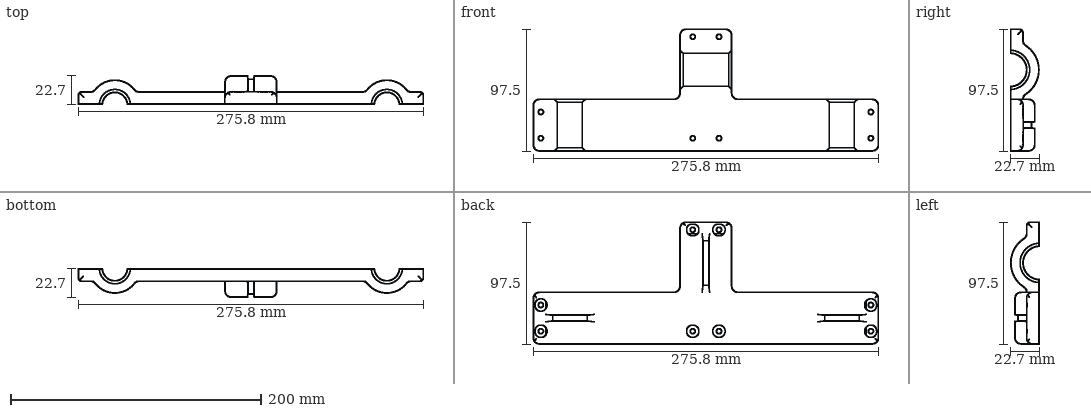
import cadquery as cq
import math

length = 275.8
height = 97.5
arm_width = 41.5
plate_thickness = 10.0
wall = 10.0
clamp_gap = 0.5
side_bore_radius = 10.0
top_bore_radius = 13.2
tab_length = 19.3
corner_radius = 5.0
back_rounding = 5.0
blend_radius = 4.7
end_rounding = 3.0
bore_chamfer = 2.5
groove_opening = 5.2
groove_floor = 4.5
groove_depth = 2.5
hole_diameter = 3.9
sink_diameter = 10.0
hole_spacing = 21.0
hole_edge_distance = 6.0

bar_middle = arm_width / 2
side_bore_x = length / 2 - tab_length - side_bore_radius
top_bore_z = height - tab_length - top_bore_radius
axis_y = -clamp_gap
past_part = 2 * height


def half_strip(start, end, bores):
    """Side face of a strip lying on y = 0 with a saddle over each (place, radius) bore."""
    profile = cq.Workplane("XY").moveTo(start, 0).lineTo(start, plate_thickness)
    for place, bore_radius in bores:
        outer = bore_radius + wall
        blend_y = plate_thickness + blend_radius
        blend_reach = math.sqrt((outer + blend_radius) ** 2 - (blend_y - axis_y) ** 2)
        touch = outer / (outer + blend_radius)
        touch_x = blend_reach * touch
        touch_y = axis_y + (blend_y - axis_y) * touch
        profile = (
            profile.lineTo(place - blend_reach, plate_thickness)
            .radiusArc((place - touch_x, touch_y), -blend_radius)
            .threePointArc((place, axis_y + outer), (place + touch_x, touch_y))
            .radiusArc((place + blend_reach, plate_thickness), -blend_radius)
        )
    return profile.lineTo(end, plate_thickness).lineTo(end, 0).close()


def stand_up(strip):
    """Turn a strip running along X so that it runs along Z, keeping its back toward +Y."""
    return strip.rotate((0, 0, 0), (0, 1, 0), -90)


def round_long_rims(strip):
    """Round the back edges that run along a strip, on both of its long sides."""
    rims = strip.faces("|Z").edges("not(|Y or <Y)")
    return strip.newObject(rims.vals()).fillet(back_rounding)


def end_cutter(end, direction):
    """Sliver that rounds the back edge at the end of a strip pointing in +X (1) or -X (-1)."""
    start = end - direction * end_rounding
    return (
        cq.Workplane("XY", origin=(0, 0, -past_part))
        .moveTo(start, plate_thickness)
        .radiusArc((end, plate_thickness - end_rounding), direction * end_rounding)
        .lineTo(end + direction * end_rounding, plate_thickness - end_rounding)
        .lineTo(end + direction * end_rounding, plate_thickness + end_rounding)
        .lineTo(start, plate_thickness + end_rounding)
        .close()
        .extrude(2 * past_part)
    )


def make_bar():
    end = length / 2
    bores = [(-side_bore_x, side_bore_radius), (side_bore_x, side_bore_radius)]
    bar = round_long_rims(half_strip(-end, end, bores).extrude(arm_width))
    outline = cq.Workplane("XY").box(length, past_part, arm_width, centered=(True, True, False))
    bar = bar.intersect(outline.edges("|Y").fillet(corner_radius))
    return bar.cut(end_cutter(end, 1)).cut(end_cutter(-end, -1))


def make_stem():
    strip = half_strip(bar_middle, height, [(top_bore_z, top_bore_radius)]).extrude(arm_width)
    strip = round_long_rims(strip)
    stem = stand_up(strip.translate((0, 0, -arm_width / 2)))
    outline = cq.Workplane("XY").box(arm_width, past_part, height, centered=(True, True, False))
    stem = stem.intersect(outline.edges("|Y and >Z").fillet(corner_radius))
    return stem.cut(stand_up(end_cutter(height, 1)))


def bore_cutter(radius):
    """Bore along Z over one arm width, flared at both ends."""
    flared = radius + bore_chamfer
    outline = (
        cq.Workplane("XZ")
        .lineTo(flared, 0)
        .lineTo(radius, bore_chamfer)
        .lineTo(radius, arm_width - bore_chamfer)
        .lineTo(flared, arm_width)
        .lineTo(0, arm_width)
        .close()
    )
    return outline.revolve(360, (0, 0, 0), (0, 1, 0))


def groove_cutter(bore_radius):
    """Ring at mid width that cuts the tapered strap groove, behind the plate only."""
    outer = bore_radius + wall
    floor = outer - groove_depth
    above = outer + groove_depth
    floor_half = groove_floor / 2
    above_half = groove_opening - floor_half
    ring = (
        cq.Workplane("XZ", origin=(0, 0, bar_middle))
        .moveTo(floor, -floor_half)
        .lineTo(above, -above_half)
        .lineTo(above, above_half)
        .lineTo(floor, floor_half)
        .close()
        .revolve(360, (0, 0, 0), (0, 1, 0))
    )
    in_front = (
        cq.Workplane("XY")
        .box(past_part, past_part, past_part)
        .translate((0, plate_thickness - axis_y - past_part / 2, 0))
    )
    return ring.cut(in_front)


def saddle_cutter(bore_radius):
    return bore_cutter(bore_radius).union(groove_cutter(bore_radius))


def hole_cutter():
    """Through hole along Y with a 90 degree countersink at the back of the plate."""
    hole_radius = hole_diameter / 2
    sink_radius = sink_diameter / 2
    sink_floor = plate_thickness - (sink_radius - hole_radius)
    return (
        cq.Workplane("XY")
        .lineTo(hole_radius, 0)
        .lineTo(hole_radius, sink_floor)
        .lineTo(sink_radius, plate_thickness)
        .lineTo(0, plate_thickness)
        .close()
        .revolve(360, (0, 0, 0), (0, 1, 0))
    )


def hole_places():
    """(x, z) of the screw holes: two per tab and two low in the middle of the bar."""
    half = hole_spacing / 2
    places = []
    for side in (-1, 1):
        places.append((side * half, height - hole_edge_distance))
        places.append((side * half, bar_middle - half))
        for tab in (-1, 1):
            places.append((tab * (length / 2 - hole_edge_distance), bar_middle + side * half))
    return places


body = make_bar().union(make_stem()).clean()
inner_corners = cq.selectors.BoxSelector(
    (-length / 4, 0, arm_width - end_rounding),
    (length / 4, plate_thickness, arm_width + end_rounding),
)
body = body.edges("|Y").edges(inner_corners).fillet(corner_radius)

for side in (-1, 1):
    body = body.cut(saddle_cutter(side_bore_radius).translate((side * side_bore_x, axis_y, 0)))
top_cutter = saddle_cutter(top_bore_radius).translate((0, axis_y, -arm_width / 2))
body = body.cut(stand_up(top_cutter).translate((0, 0, top_bore_z)))

cutter = hole_cutter()
for x, z in hole_places():
    body = body.cut(cutter.translate((x, 0, z)))
result = body